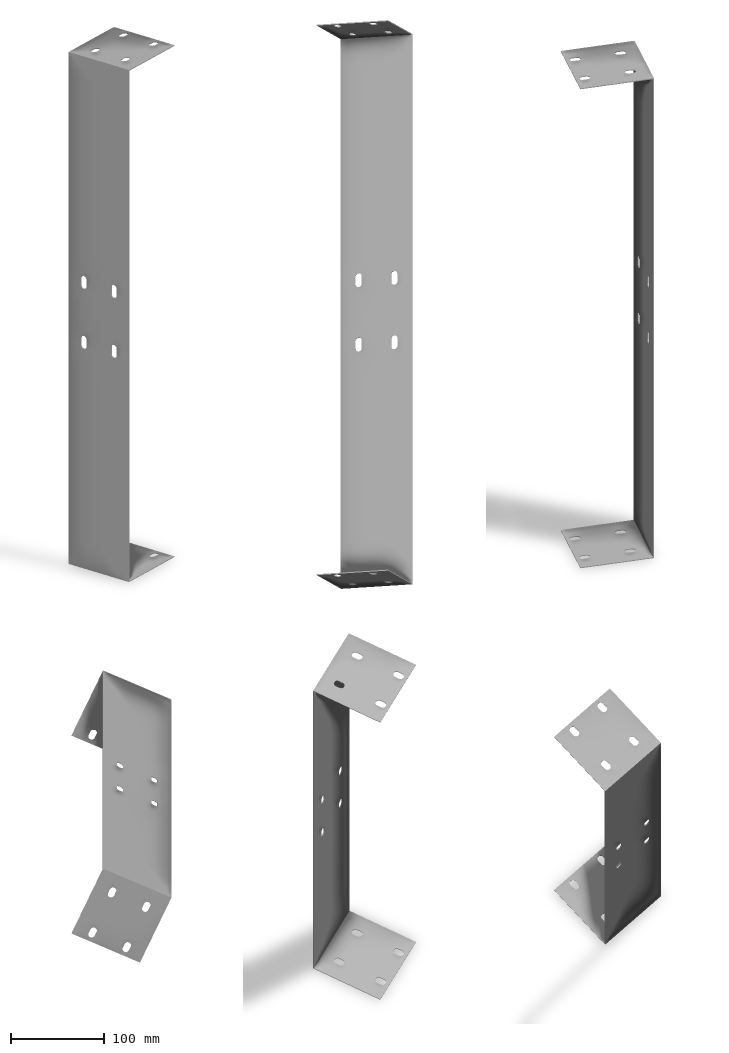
import cadquery as cq

width = 80.0
depth = 81.0
height = 597.0
thickness = 1.1

slot_width = 7.0
slot_spacing_x = 40.0

web_slot_length = 15.0
web_slot_spacing_z = 70.0

flange_slot_length = 12.0
flange_slot_spacing_y = 50.0
flange_slot_edge_distance = 10.0

front_y = -depth / 2
flange_slot_center_y = depth / 2 - flange_slot_edge_distance - flange_slot_spacing_y / 2


def make_bracket():
    """Tall web on the -Y side with a flange reaching to +Y at each end."""
    block = cq.Workplane("XY").box(width, depth, height)
    opening = (
        cq.Workplane("XY")
        .box(width, depth, height - 2 * thickness)
        .translate((0, thickness, 0))
    )
    return block.cut(opening)


def make_web_slots():
    """Four upright slots through the web."""
    return (
        cq.Workplane("XZ", origin=(0, front_y + thickness, 0))
        .rarray(slot_spacing_x, web_slot_spacing_z, 2, 2)
        .slot2D(web_slot_length, slot_width, 90)
        .extrude(thickness)
    )


def make_flange_slots():
    """Four slots running along Y, cut through both flanges."""
    return (
        cq.Workplane("XY", origin=(0, flange_slot_center_y, -height / 2))
        .rarray(slot_spacing_x, flange_slot_spacing_y, 2, 2)
        .slot2D(flange_slot_length, slot_width, 90)
        .extrude(height)
    )


result = make_bracket().cut(make_web_slots()).cut(make_flange_slots())